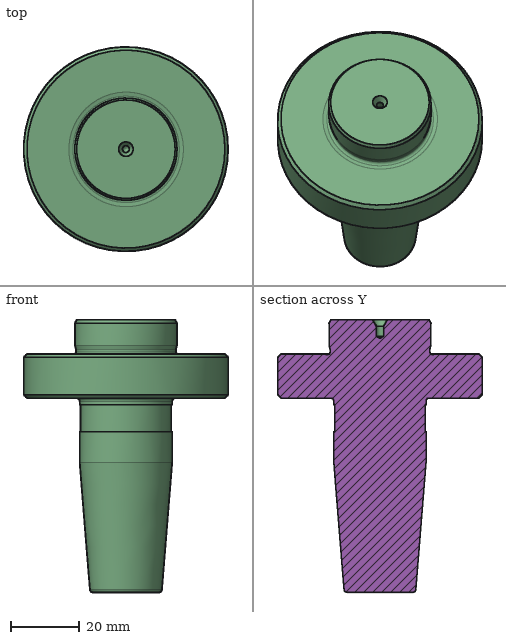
import cadquery as cq
import math

total_length = 80.0
flange_top = 70.0
flange_bottom = 57.0
shank_top = 47.2
taper_top = 38.2

spigot_diameter = 30.0
flange_diameter = 60.0
neck_diameter = 26.7
shank_diameter = 27.2
tail_diameter = 21.2

edge_chamfer = 1.0
lead_in_angle = math.radians(30)
tail_round = 1.0

undercut_length = 2.5
undercut_depth = 0.3
undercut_round = 0.8
undercut_runout = math.radians(15)
undercut_face_slope = math.radians(8)
undercut_face_diameter = 33.6

land_height = 1.0
land_fillet = 0.9

centre_mouth_diameter = 4.2
centre_pilot_diameter = 2.0
centre_depth = 4.8
centre_cone_angle = math.radians(60)
drill_point_angle = math.radians(118)


def arc_point(centre, radius, angle):
    """Point at the given angle on a circle in the radius-height plane."""
    return (centre[0] + radius * math.cos(angle), centre[1] + radius * math.sin(angle))


def revolve(profile):
    """Revolve a radius-height profile about the Z axis."""
    return profile.close().revolve(360, (0, 0, 0), (0, 1, 0))


def turned_body():
    spigot_radius = spigot_diameter / 2
    flange_radius = flange_diameter / 2
    neck_radius = neck_diameter / 2
    shank_radius = shank_diameter / 2
    tail_radius = tail_diameter / 2
    lead_in_width = edge_chamfer * math.tan(lead_in_angle)

    floor_radius = spigot_radius - undercut_depth
    undercut_top = flange_top + undercut_length
    floor_top = undercut_top - undercut_depth / math.tan(undercut_runout)
    face_radius = undercut_face_diameter / 2
    round_radius = floor_radius + undercut_round
    tangent_radius = round_radius + undercut_round * math.sin(undercut_face_slope)
    tangent_angle = math.pi * 1.5 + undercut_face_slope
    tangent_height = flange_top - (face_radius - tangent_radius) * math.tan(undercut_face_slope)
    round_centre = (round_radius, tangent_height + undercut_round * math.cos(undercut_face_slope))
    round_middle = arc_point(round_centre, undercut_round, (math.pi + tangent_angle) / 2)
    round_end = arc_point(round_centre, undercut_round, tangent_angle)

    land_top = flange_bottom - land_fillet
    land_bottom = land_top - land_height

    profile = (
        cq.Workplane("XZ")
        .moveTo(0, total_length)
        .lineTo(spigot_radius - lead_in_width, total_length)
        .lineTo(spigot_radius, total_length - edge_chamfer)
        .lineTo(spigot_radius, undercut_top)
        .lineTo(floor_radius, floor_top)
        .lineTo(floor_radius, round_centre[1])
        .threePointArc(round_middle, round_end)
        .lineTo(face_radius, flange_top)
        .lineTo(flange_radius - edge_chamfer, flange_top)
        .lineTo(flange_radius, flange_top - edge_chamfer)
        .lineTo(flange_radius, flange_bottom + edge_chamfer)
        .lineTo(flange_radius - edge_chamfer, flange_bottom)
        .lineTo(shank_radius + land_fillet, flange_bottom)
        .tangentArcPoint((shank_radius, land_top), relative=False)
        .lineTo(shank_radius, land_bottom)
        .lineTo(neck_radius, land_bottom)
        .lineTo(neck_radius, shank_top)
        .lineTo(shank_radius, shank_top)
        .lineTo(shank_radius, taper_top)
        .lineTo(tail_radius, tail_round)
        .tangentArcPoint((tail_radius - tail_round, 0), relative=False)
        .lineTo(0, 0)
    )
    return revolve(profile)


def centre_hole():
    mouth_radius = centre_mouth_diameter / 2
    pilot_radius = centre_pilot_diameter / 2
    cone_depth = (mouth_radius - pilot_radius) / math.tan(centre_cone_angle / 2)
    point_length = pilot_radius / math.tan(drill_point_angle / 2)
    profile = (
        cq.Workplane("XZ")
        .moveTo(0, total_length)
        .lineTo(mouth_radius, total_length)
        .lineTo(pilot_radius, total_length - cone_depth)
        .lineTo(pilot_radius, total_length - centre_depth)
        .lineTo(0, total_length - centre_depth - point_length)
    )
    return revolve(profile)


result = turned_body().cut(centre_hole())